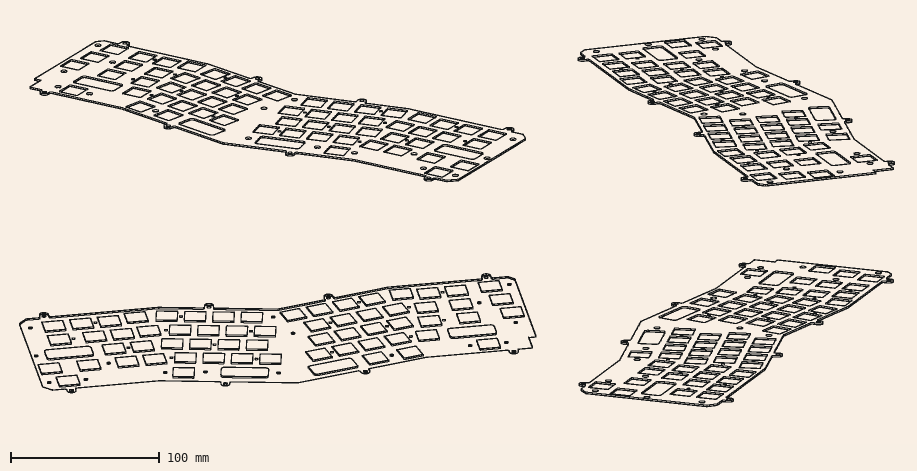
import cadquery as cq
import math


thickness = 1.2
length = 338.8
left_x = -length / 2
right_x = length / 2
top_y = 55.5
bottom_y = -42.7
tilt = 12.0
tilt_slope = math.tan(math.radians(tilt))
top_bend_left_x = -83.7
top_bend_right_x = 73.5
bottom_bend_left_x = -91.8
bottom_bend_right_x = 90.8
top_left_chamfer = 4.0
top_right_chamfer = 5.5
bottom_right_chamfer = 5.8
notch_width = 5.0
notch_top_y = -28.0

tab_radius = 3.0
top_tab_reach = 3.5
bottom_tab_reach = 2.7
tab_foot_radius = 1.5
tab_overlap = 1.7
tab_hole_diameter = 2.7
outer_tab_x = 151.0
top_tab_left_x = -42.5
top_tab_right_x = 40.3
bottom_tab_left_x = -47.5
bottom_tab_right_x = 47.0

four_pitch_span = 76.2
pitch = four_pitch_span / 4
half_pitch = pitch / 2
key_size = 14.2
key_corner_radius = 0.5
wide_key_length = 32.0
wide_key_corner_radius = 2.5
middle_row_y = 5.8
row_y = [middle_row_y + pitch * step for step in (2, 1, 0, -1, -2)]
raised_key_offset = 2.0
slightly_raised_offset = 1.0

left_top_hole_key_x = -128.0
left_middle_hole_key_x = -103.0
right_top_hole_key_x = 109.0
right_upper_hole_key_x = 146.7
right_middle_hole_key_x = 93.5

straight_keys = [
    (-151.5, row_y[0] + raised_key_offset),
    (left_top_hole_key_x, row_y[0]),
    (-109.0, row_y[0]),
    (-90.8, row_y[0] + raised_key_offset),
    (-155.5, row_y[1] + raised_key_offset),
    (-127.7, row_y[1]),
    (-104.0, row_y[1]),
    (-159.5, row_y[2] + raised_key_offset),
    (-129.5, row_y[2]),
    (left_middle_hole_key_x, row_y[2]),
    (-98.0, row_y[3]),
    (-136.2, row_y[4]),
    (90.5, row_y[0] + raised_key_offset),
    (right_top_hole_key_x, row_y[0]),
    (128.0, row_y[0]),
    (147.0, row_y[0]),
    (85.5, row_y[1] + slightly_raised_offset),
    (103.7, row_y[1]),
    (122.5, row_y[1]),
    (right_upper_hole_key_x, row_y[1]),
    (right_middle_hole_key_x, row_y[2]),
    (112.8, row_y[2]),
    (88.5, row_y[3]),
    (107.5, row_y[3]),
    (133.5, row_y[3]),
    (160.0, row_y[3]),
    (151.0, row_y[4]),
]
straight_wide_keys = [(-128.5, row_y[3]), (143.5, row_y[2])]

tilted_row_keys = 4
left_group_origin = (-70.0, 42.5)
left_row_starts = [0, -0.5, -0.25, 0.25]
left_wide_key = (3.125, 4)
right_group_origin = (14.0, 32.2)
right_row_starts = [0, -0.5, -0.25, -0.75]
right_wide_key = (0.125, 4)
thumb_drop = 0.08
left_thumb_keys = [(0.22, 4 + thumb_drop), (1.5, 4)]
right_thumb_keys = [(2.28, 4 + thumb_drop)]

locating_hole_diameter = 2.0
straight_locating_holes = [
    (left_top_hole_key_x + half_pitch, row_y[0]),
    (left_middle_hole_key_x - half_pitch, row_y[2]),
    (right_top_hole_key_x + half_pitch, row_y[0]),
    (right_upper_hole_key_x - half_pitch, row_y[1]),
    (right_middle_hole_key_x + half_pitch, row_y[2]),
]
left_locating_holes = [(0.5, 0), (-1, 1), (2, 1), (0.25, 2), (-0.25, 3), (2.75, 3)]
right_locating_holes = [(2.5, 0), (0, 1), (3, 1), (1.25, 2), (-0.25, 3), (2.75, 3)]

screw_hole_diameter = 2.5
screw_head_diameter = 4.0
screw_head_angle = 90
screw_holes = [
    (-164.5, 46.5), (-140.3, 25.0), (-159.5, -6.0), (-148.5, -32.2),
    (-123.5, -32.2), (-69.5, -36.0), (-9.5, 5.8), (-0.5, 30.0),
    (9.8, -46.5), (58.0, -36.3), (84.7, -32.2), (139.0, -32.2),
    (164.0, -32.2), (120.0, -13.0), (166.0, 5.8), (163.0, 44.5),
]


def sloped_y(level, bend_x, x):
    """Height at x of an edge that falls from the given level beyond its bend."""
    return level - tilt_slope * abs(x - bend_x)


def make_outline():
    """Flat plate with bent long edges, chamfered corners and a lower-left notch."""
    valley_x = (top_bend_left_x + top_bend_right_x) / 2
    apex_x = (bottom_bend_left_x + bottom_bend_right_x) / 2
    points = [
        (left_x, top_y - top_left_chamfer),
        (left_x + top_left_chamfer, top_y),
        (top_bend_left_x, top_y),
        (valley_x, sloped_y(top_y, top_bend_left_x, valley_x)),
        (top_bend_right_x, top_y),
        (right_x - top_right_chamfer, top_y),
        (right_x, top_y - top_right_chamfer),
        (right_x, bottom_y + bottom_right_chamfer),
        (right_x - bottom_right_chamfer, bottom_y),
        (bottom_bend_right_x, bottom_y),
        (apex_x, sloped_y(bottom_y, bottom_bend_left_x, apex_x)),
        (bottom_bend_left_x, bottom_y),
        (left_x + notch_width, bottom_y),
        (left_x + notch_width, notch_top_y),
        (left_x, notch_top_y),
    ]
    return cq.Workplane("XY").polyline(points).close().extrude(thickness)


def make_tab(x, y, angle, reach):
    """Tab standing on the edge point (x, y), turned by angle from +Y."""
    foot = tab_radius + tab_foot_radius
    bulge = tab_foot_radius * (1 - math.sqrt(0.5))
    tab = (
        cq.Workplane("XY")
        .moveTo(-foot, -tab_overlap)
        .lineTo(-foot, 0)
        .threePointArc((-tab_radius - bulge, bulge), (-tab_radius, tab_foot_radius))
        .lineTo(-tab_radius, reach)
        .threePointArc((0, reach + tab_radius), (tab_radius, reach))
        .lineTo(tab_radius, tab_foot_radius)
        .threePointArc((tab_radius + bulge, bulge), (foot, 0))
        .lineTo(foot, -tab_overlap)
        .close()
        .pushPoints([(0, reach)])
        .circle(tab_hole_diameter / 2)
        .extrude(thickness)
    )
    return tab.rotate((0, 0, 0), (0, 0, 1), angle).translate((x, y, 0))


def cutter(centers, width, corner_radius, angle):
    """Rounded rectangular punches, each turned by angle about its own center."""
    punch = cq.Workplane("XY").rect(width, key_size).extrude(thickness)
    punch = punch.edges("|Z").fillet(corner_radius).rotate((0, 0, 0), (0, 0, 1), angle)
    punches = [punch.translate((x, y, 0)).val() for x, y in centers]
    return cq.Workplane(cq.Compound.makeCompound(punches))


def tilted_point(origin, angle, along, across):
    """Plate point reached from a group origin by pitches along and down a tilted grid."""
    cosine = math.cos(math.radians(angle))
    sine = math.sin(math.radians(angle))
    x = origin[0] + pitch * (along * cosine + across * sine)
    y = origin[1] + pitch * (along * sine - across * cosine)
    return (x, y)


def row_positions(row_starts):
    """Grid positions of all keys in the full rows of a tilted group."""
    return [
        (start + column, row)
        for row, start in enumerate(row_starts)
        for column in range(tilted_row_keys)
    ]


plate = make_outline()

top_tabs = [
    (-outer_tab_x, top_y, 0),
    (outer_tab_x, top_y, 0),
    (top_tab_left_x, sloped_y(top_y, top_bend_left_x, top_tab_left_x), -tilt),
    (top_tab_right_x, sloped_y(top_y, top_bend_right_x, top_tab_right_x), tilt),
]
bottom_tabs = [
    (-outer_tab_x, bottom_y, 180),
    (outer_tab_x, bottom_y, 180),
    (bottom_tab_left_x, sloped_y(bottom_y, bottom_bend_left_x, bottom_tab_left_x), 180 - tilt),
    (bottom_tab_right_x, sloped_y(bottom_y, bottom_bend_right_x, bottom_tab_right_x), 180 + tilt),
]
for tabs, reach in [(top_tabs, top_tab_reach), (bottom_tabs, bottom_tab_reach)]:
    for x, y, angle in tabs:
        plate = plate.union(make_tab(x, y, angle, reach))

plate = plate.cut(cutter(straight_keys, key_size, key_corner_radius, 0))
plate = plate.cut(cutter(straight_wide_keys, wide_key_length, wide_key_corner_radius, 0))

locating_holes = list(straight_locating_holes)
tilted_groups = [
    (left_group_origin, -tilt, left_row_starts, left_thumb_keys, left_wide_key, left_locating_holes),
    (right_group_origin, tilt, right_row_starts, right_thumb_keys, right_wide_key, right_locating_holes),
]
for origin, angle, row_starts, thumb_keys, wide_key, group_holes in tilted_groups:
    grid = row_positions(row_starts) + thumb_keys
    keys = [tilted_point(origin, angle, along, across) for along, across in grid]
    wide_keys = [tilted_point(origin, angle, *wide_key)]
    plate = plate.cut(cutter(keys, key_size, key_corner_radius, angle))
    plate = plate.cut(cutter(wide_keys, wide_key_length, wide_key_corner_radius, angle))
    locating_holes += [tilted_point(origin, angle, *hole) for hole in group_holes]

top_face = cq.Workplane("XY", origin=(0, 0, thickness))
plate = plate.cut(
    top_face.pushPoints(locating_holes).circle(locating_hole_diameter / 2).extrude(-thickness)
)
result = (
    plate.copyWorkplane(top_face)
    .pushPoints(screw_holes)
    .cskHole(screw_hole_diameter, screw_head_diameter, screw_head_angle)
)